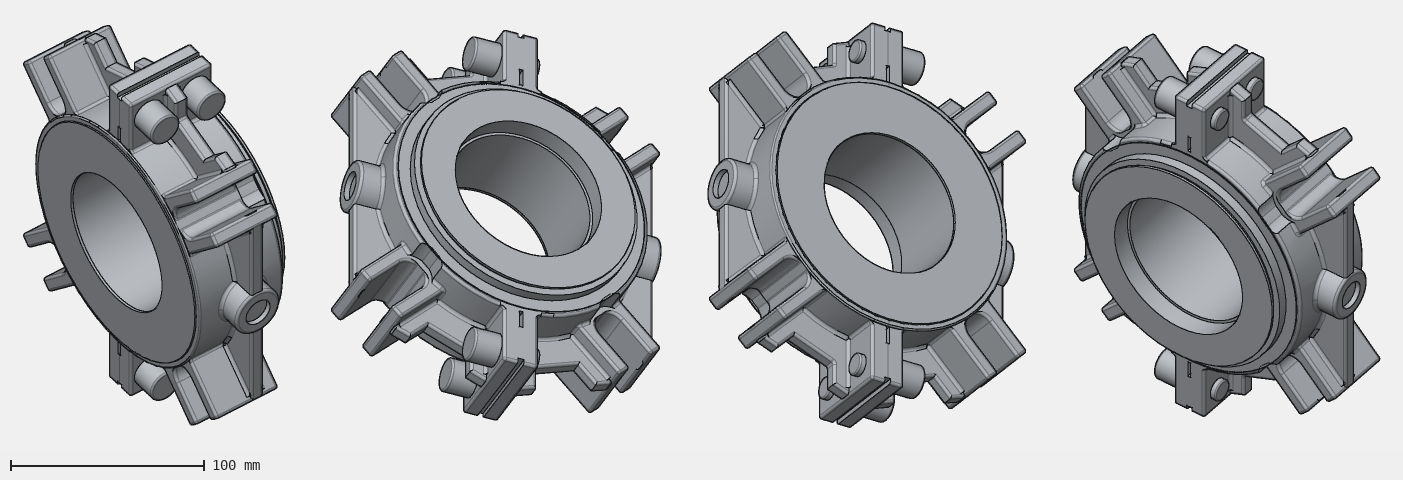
import cadquery as cq
import math


FRONT_Y = -28.3
BACK_Y = 35.2
BORE_D = 79.38
BORE_MOUTH_D = 79.5
BORE_MOUTH_DEPTH = 1.5
BACK_BORE_D = 82.55
BACK_BORE_DEPTH = 11.1
INSERT_D = 136.53
SEAT_D = 137.03
SEAT_GROOVE_DEPTH = 1.0
RING_D = 143.6
RING_FRONT_Y = -27.5
RING_BACK_Y = 26.0
BACK_PLATE_D = 139.0
BACK_PLATE_Y = 26.6
SPIGOT_D = 125.73
SPIGOT_END_Y = 32.0
NECK_D = 118.11
LIP_D = 120.65
LIP_LENGTH = 1.4

EDGE_R = 1.5
ROOT_R = 1.8
FRONT_EDGE_R = 0.8
WEB_T = 7.8
LIMIT = 200.0
TOLERANCE = 0.02
CORE_R = 64.0
CAST_FRONT_Y = -26.4

EAR_HALF_W = 9.7
EAR_TOP_Z = 209.49 / 2
TOP_GROOVE_W = 3.4
TOP_GROOVE_DEPTH = 2.8
SLIT_W = 1.9
SLIT_TOP_Z = 81.6
BOLT_Z = 92.1
BOLT_Y = 14.85
BOLT_HEAD_D = 18.0
BOLT_HEAD_END_X = 24.5
BOLT_HEAD_EDGE = 1.0
BOLT_TIP_D = 12.0
BOLT_TIP_END_X = 13.1
BOLT_TIP_EDGE = 0.8

FORK_ANGLE = 45.0
FORK_BACK_Y = 13.3
FORK_END_R = 103.6
FORK_HALF_W = 16.5
FORK_SLOT_HALF_W = 8.6
FORK_SLOT_CENTER_R = 79.9
RELIEF_R = 12.0

WEB_SIDE_X = 84.3
SHOULDER_X = 18.6
SHOULDER_TOP_Z = 100.3
WEB_NOTCH_X = 42.5
WEB_NOTCH_Z = 78.3
WEB_SLOPE = 21.0
FORK_WEB_LENGTH = 14.0
FORK_WEB_SLOPE = 20.0

BOSS_D = 27.8
BOSS_END_X = 169.84 / 2
BOSS_HOLE_D = 15.34
BOSS_HOLE_DEPTH = 3.0


def y_cylinder(diameter, y_start, y_end, x=0, z=0):
    return (cq.Workplane("XZ", origin=(x, y_start, z))
            .circle(diameter / 2).extrude(y_start - y_end))


def x_cylinder(diameter, x_start, x_end, y=0, z=0):
    return (cq.Workplane("YZ", origin=(x_start, y, z))
            .circle(diameter / 2).extrude(x_end - x_start))


def block(x_range, y_range, z_range):
    corner = (x_range[0], y_range[0], z_range[0])
    size = [end - start for start, end in (x_range, y_range, z_range)]
    return cq.Workplane("XY").box(*size, centered=False).translate(corner)


def on_both_sides(part, plane):
    return part.union(part.mirror(plane))


def make_ring():
    ring = y_cylinder(RING_D, RING_FRONT_Y, RING_BACK_Y)
    ring = ring.faces(">Y").edges().fillet(EDGE_R)
    return ring.faces("<Y").edges().fillet(FRONT_EDGE_R)


def make_insert():
    insert = y_cylinder(INSERT_D, FRONT_Y, RING_BACK_Y)
    insert = insert.union(y_cylinder(BACK_PLATE_D, RING_BACK_Y, BACK_PLATE_Y))
    insert = insert.union(y_cylinder(SPIGOT_D, BACK_PLATE_Y, SPIGOT_END_Y))
    insert = insert.union(y_cylinder(NECK_D, SPIGOT_END_Y, BACK_Y))
    return insert.union(y_cylinder(LIP_D, BACK_Y - LIP_LENGTH, BACK_Y))


def make_bore():
    bore = y_cylinder(BORE_D, FRONT_Y, BACK_Y)
    bore = bore.union(y_cylinder(BORE_MOUTH_D, FRONT_Y, FRONT_Y + BORE_MOUTH_DEPTH))
    return bore.union(y_cylinder(BACK_BORE_D, BACK_Y - BACK_BORE_DEPTH, BACK_Y))


def make_seat_groove():
    y_end = RING_FRONT_Y + SEAT_GROOVE_DEPTH
    groove = y_cylinder(SEAT_D, RING_FRONT_Y, y_end)
    return groove.cut(y_cylinder(INSERT_D, RING_FRONT_Y, y_end))


def to_diagonal(part):
    """Turn a part built along +X onto the +X +Z diagonal."""
    return part.rotate((0, 0, 0), (0, 1, 0), -FORK_ANGLE)


def make_fork_slot(y_start, y_end):
    slot = block((FORK_SLOT_CENTER_R, FORK_END_R + FORK_HALF_W), (y_start, y_end),
                 (-FORK_SLOT_HALF_W, FORK_SLOT_HALF_W))
    return slot.union(y_cylinder(2 * FORK_SLOT_HALF_W, y_start, y_end, x=FORK_SLOT_CENTER_R))


def make_fork():
    y_range = (CAST_FRONT_Y, FORK_BACK_Y)
    fork = block((CORE_R, FORK_END_R), y_range, (-FORK_HALF_W, FORK_HALF_W))
    fork = fork.cut(make_fork_slot(*y_range))
    return to_diagonal(fork.edges("(not <X)").fillet(EDGE_R))


def make_web_quarter():
    slope = math.tan(math.radians(WEB_SLOPE))
    diagonal = math.sqrt(0.5)
    shoulder_z = WEB_NOTCH_Z + (WEB_NOTCH_X - SHOULDER_X) * slope
    ear_z = SHOULDER_TOP_Z + (SHOULDER_X - EAR_HALF_W) * slope
    tip_x = WEB_NOTCH_X + FORK_WEB_LENGTH * diagonal
    tip_z = WEB_NOTCH_Z + FORK_WEB_LENGTH * diagonal
    prong_x = (FORK_END_R - EDGE_R - FORK_HALF_W) * diagonal
    prong_z = tip_z - (prong_x - tip_x) * math.tan(math.radians(FORK_WEB_SLOPE))
    side_z = (FORK_END_R - FORK_HALF_W) * diagonal
    outline = [
        (0, 0), (0, ear_z), (EAR_HALF_W, ear_z), (SHOULDER_X, SHOULDER_TOP_Z),
        (SHOULDER_X, shoulder_z), (WEB_NOTCH_X, WEB_NOTCH_Z), (tip_x, tip_z),
        (prong_x, prong_z), (WEB_SIDE_X, side_z), (WEB_SIDE_X, 0),
    ]
    web = (cq.Workplane("XZ", origin=(0, WEB_T / 2, 0)).polyline(outline).close().extrude(WEB_T))
    web = web.edges("|Y").edges(
        cq.selectors.BoxSelector((SHOULDER_X - 1, -WEB_T, shoulder_z - 1),
                                 (SHOULDER_X + 1, WEB_T, shoulder_z + 1))).fillet(EDGE_R)
    web = web.faces("|Y").edges("not(<X or <Z)").fillet(EDGE_R)
    return web.cut(to_diagonal(make_fork_slot(-WEB_T, WEB_T)))


def make_ear():
    ear = block((-EAR_HALF_W, EAR_HALF_W), (CAST_FRONT_Y, RING_BACK_Y), (CORE_R, EAR_TOP_Z))
    return ear.edges("not <Z").fillet(EDGE_R)


def make_bolts():
    bolts = cq.Workplane("XY")
    for y in (-BOLT_Y, BOLT_Y):
        head = x_cylinder(BOLT_HEAD_D, 0, BOLT_HEAD_END_X, y, BOLT_Z)
        head = head.cut(x_cylinder(BOLT_HEAD_D, 0, EAR_HALF_W, y, BOLT_Z))
        tip = x_cylinder(BOLT_TIP_D, -EAR_HALF_W, -BOLT_TIP_END_X, y, BOLT_Z)
        bolts = bolts.add(head.faces(">X").edges().fillet(BOLT_HEAD_EDGE))
        bolts = bolts.add(tip.faces("<X").edges().fillet(BOLT_TIP_EDGE))
    return bolts.combine()


def make_boss():
    boss = x_cylinder(BOSS_D, CORE_R, BOSS_END_X)
    return boss.faces(">X").edges().fillet(EDGE_R)


def make_root_strip(length):
    """Concave strip along +X filling the corner between the +Y and +Z sides of the X axis."""
    strip = block((0, length), (0, ROOT_R), (0, ROOT_R))
    return strip.cut(x_cylinder(2 * ROOT_R, 0, length, ROOT_R, ROOT_R))


def make_web_roots():
    """Strips along the corners where the web meets the ear and the fork prongs."""
    web_face_y = WEB_T / 2
    strip_length = FORK_END_R - 2 * EDGE_R - CORE_R
    prong_strip = make_root_strip(strip_length).translate((CORE_R, web_face_y, FORK_HALF_W))
    strips = to_diagonal(on_both_sides(prong_strip, "XY"))
    ear_strip = make_root_strip(SHOULDER_TOP_Z - CORE_R).rotate((0, 0, 0), (0, 1, 0), -90)
    ear_strip = ear_strip.mirror("YZ").translate((EAR_HALF_W, web_face_y, CORE_R))
    return on_both_sides(strips.union(ear_strip), "XZ")


def is_ring_root(edge):
    """True for an edge where a limb runs along the outside of the ring."""
    points = [edge.positionAt(t) for t in (0, 0.25, 0.5, 0.75, 1)]
    on_ring = all(abs(math.hypot(p.x, p.z) - RING_D / 2) < TOLERANCE for p in points)
    within_ring = all(FRONT_Y < p.y < BACK_Y for p in points)
    on_cut_plane = any(all(abs(value) < TOLERANCE for value in values)
                       for values in ([p.x for p in points], [p.z for p in points]))
    return on_ring and within_ring and not on_cut_plane


def make_quarter():
    """One quarter of ring and limbs, the ring still running past its two ends."""
    limbs = make_web_quarter().union(make_fork()).union(make_ear()).union(make_boss())
    quarter = limbs.union(y_cylinder(RING_D, FRONT_Y, BACK_Y))
    quarter = quarter.intersect(block((0, LIMIT), (-LIMIT, LIMIT), (0, LIMIT)))
    roots = [edge for edge in quarter.edges().vals() if is_ring_root(edge)]
    return quarter.newObject(roots).fillet(ROOT_R).union(make_web_roots())


def trim_ring_ends(casting):
    envelope = y_cylinder(2 * LIMIT, CAST_FRONT_Y, RING_BACK_Y).union(make_ring())
    back_edge = y_cylinder(RING_D, RING_BACK_Y - EDGE_R, RING_BACK_Y).cut(make_ring())
    ear_half_w = EAR_HALF_W + ROOT_R
    ears = block((-ear_half_w, ear_half_w), (-LIMIT, LIMIT), (-LIMIT, LIMIT))
    return casting.intersect(envelope).cut(back_edge.cut(ears))


def make_clamp_gaps():
    y_range = (CAST_FRONT_Y, RING_BACK_Y)
    groove = block((-TOP_GROOVE_W / 2, TOP_GROOVE_W / 2), y_range,
                   (EAR_TOP_Z - TOP_GROOVE_DEPTH, EAR_TOP_Z))
    slit = block((-SLIT_W / 2, SLIT_W / 2), y_range, (RING_D / 2, SLIT_TOP_Z))
    return on_both_sides(groove.union(slit), "XY")


def make_reliefs():
    relief = to_diagonal(y_cylinder(2 * RELIEF_R, FORK_BACK_Y, RING_BACK_Y, x=FORK_SLOT_CENTER_R))
    return on_both_sides(on_both_sides(relief, "YZ"), "XY")


def make_boss_holes():
    hole = x_cylinder(BOSS_HOLE_D, BOSS_END_X - BOSS_HOLE_DEPTH, BOSS_END_X)
    return on_both_sides(hole, "YZ")


quarter = trim_ring_ends(make_quarter()).cut(make_clamp_gaps()).cut(make_reliefs())
quarter = quarter.cut(make_boss_holes()).cut(y_cylinder(2 * CORE_R, FRONT_Y, BACK_Y))
casting = on_both_sides(on_both_sides(quarter, "XY"), "YZ")
casting = casting.cut(make_seat_groove())
result = casting.union(on_both_sides(make_bolts(), "XY")).union(make_insert()).cut(make_bore())